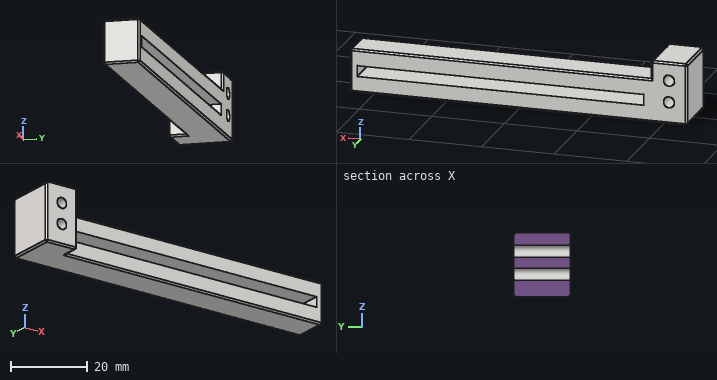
import cadquery as cq

total_length = 93.0
head_length = 10.0
head_depth = 15.0
head_height = 17.0
bar_depth = 10.0
bar_height = 12.0
edge_chamfer = 0.5

slot_height = 3.0
slot_end_wall = 2.0

hole_diameter = 3.0
hole_heights = (6.0, 12.0)

bar_length = total_length - head_length
slot_length = bar_length - 2 * slot_end_wall
bar_front = head_depth - bar_depth


def box_from_corner(length, depth, height, corner):
    """Box whose lowest X, Y and Z corner sits at the given point."""
    return cq.Workplane("XY").box(length, depth, height, centered=False).translate(corner)


def make_body():
    """Head and bar joined, with chamfers on the outer edges."""
    head = box_from_corner(head_length, head_depth, head_height, (0, 0, 0))
    bar = box_from_corner(bar_length, bar_depth, bar_height, (head_length, bar_front, 0))
    sharp_front_edge = cq.selectors.NearestToPointSelector((head_length / 2, 0, head_height))
    bar_top_root = cq.selectors.NearestToPointSelector(
        (head_length, bar_front + bar_depth / 2, bar_height)
    )
    bar_front_root = cq.selectors.NearestToPointSelector((head_length, bar_front, bar_height / 2))
    chamfered_edges = cq.selectors.SubtractSelector(
        cq.selectors.InverseSelector(sharp_front_edge),
        cq.selectors.SumSelector(bar_top_root, bar_front_root),
    )
    return head.union(bar).clean().edges(chamfered_edges).chamfer(edge_chamfer)


def make_slot():
    """Cutter for the rectangular slot through the bar."""
    slot_start = head_length + slot_end_wall
    slot_bottom = (bar_height - slot_height) / 2
    return box_from_corner(slot_length, bar_depth, slot_height, (slot_start, bar_front, slot_bottom))


def make_head_holes():
    """Cutter for the holes through the depth of the head."""
    centres = [(head_length / 2, height) for height in hole_heights]
    return cq.Workplane("XZ").pushPoints(centres).circle(hole_diameter / 2).extrude(-head_depth)


result = make_body().cut(make_slot()).cut(make_head_holes())